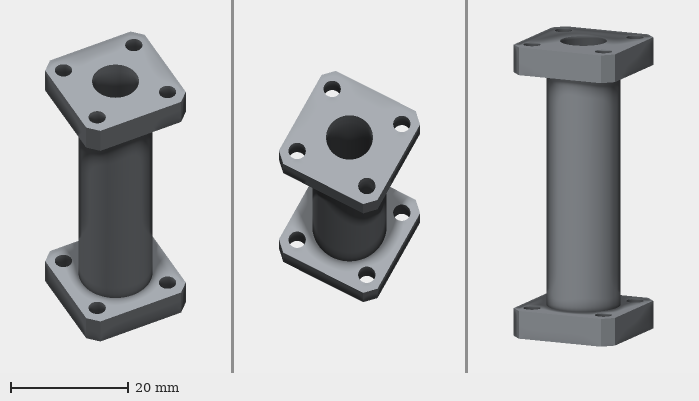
import cadquery as cq

flange_side = 19.05
flange_thickness = 4.83
corner_chamfer = 1.8
overall_length = 50.8
tube_diameter = 12.7
bore_diameter = 8.0
bolt_hole_diameter = 2.95
bolt_spacing_x = 12.7
bolt_spacing_y = 13.46

half_length = overall_length / 2


def make_flange(bottom_z):
    """Square flange with chamfered corners and four through bolt holes."""
    plate = (
        cq.Workplane("XY", origin=(0, 0, bottom_z))
        .rect(flange_side, flange_side)
        .extrude(flange_thickness)
        .edges("|Z")
        .chamfer(corner_chamfer)
    )
    return (
        plate.faces(">Z")
        .workplane()
        .rect(bolt_spacing_x, bolt_spacing_y, forConstruction=True)
        .vertices()
        .hole(bolt_hole_diameter)
    )


def make_cylinder(diameter):
    """Full-length cylinder on the part axis."""
    return (
        cq.Workplane("XY", origin=(0, 0, -half_length))
        .circle(diameter / 2)
        .extrude(overall_length)
    )


result = make_cylinder(tube_diameter)
for flange_bottom in (-half_length, half_length - flange_thickness):
    result = result.union(make_flange(flange_bottom))

result = result.cut(make_cylinder(bore_diameter))